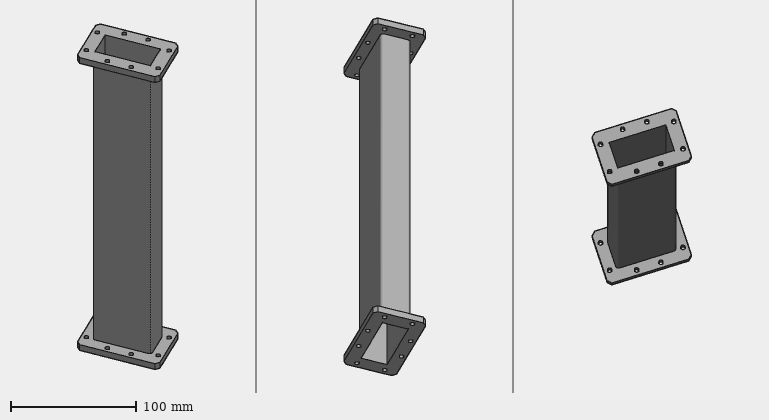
import cadquery as cq

length = 304.8
flange_width = 70.7
flange_depth = 45.0
flange_thickness = 6.0
flange_chamfer = 3.0

bore_width = 47.5
bore_depth = 22.3
wall = 1.5
tube_width = bore_width + 2 * wall
tube_depth = bore_depth + 2 * wall
tube_corner_radius = 2.5

hole_diameter = 3.7
short_side_pitch_x = 61.5
short_side_pitch_y = 23.8
long_side_pitch_x = 20.5
long_side_pitch_y = 36.5


def centred_block(width, depth, height, bottom):
    """Rectangular block centred on the Z axis, standing on the given height."""
    return cq.Workplane("XY").workplane(offset=bottom).rect(width, depth).extrude(height)


def flange(bottom):
    """Chamfered end plate with its eight bolt holes."""
    plate = centred_block(flange_width, flange_depth, flange_thickness, bottom)
    plate = plate.edges("|Z").chamfer(flange_chamfer)
    hole_patterns = (
        (short_side_pitch_x, short_side_pitch_y),
        (long_side_pitch_x, long_side_pitch_y),
    )
    for pitch_x, pitch_y in hole_patterns:
        plate = (
            plate.faces(">Z").workplane(origin=(0, 0, 0))
            .rect(pitch_x, pitch_y, forConstruction=True)
            .vertices()
            .hole(hole_diameter)
        )
    return plate


tube = centred_block(tube_width, tube_depth, length, 0).edges("|Z").fillet(tube_corner_radius)
bore = centred_block(bore_width, bore_depth, length, 0)

result = tube.union(flange(0)).union(flange(length - flange_thickness)).cut(bore)